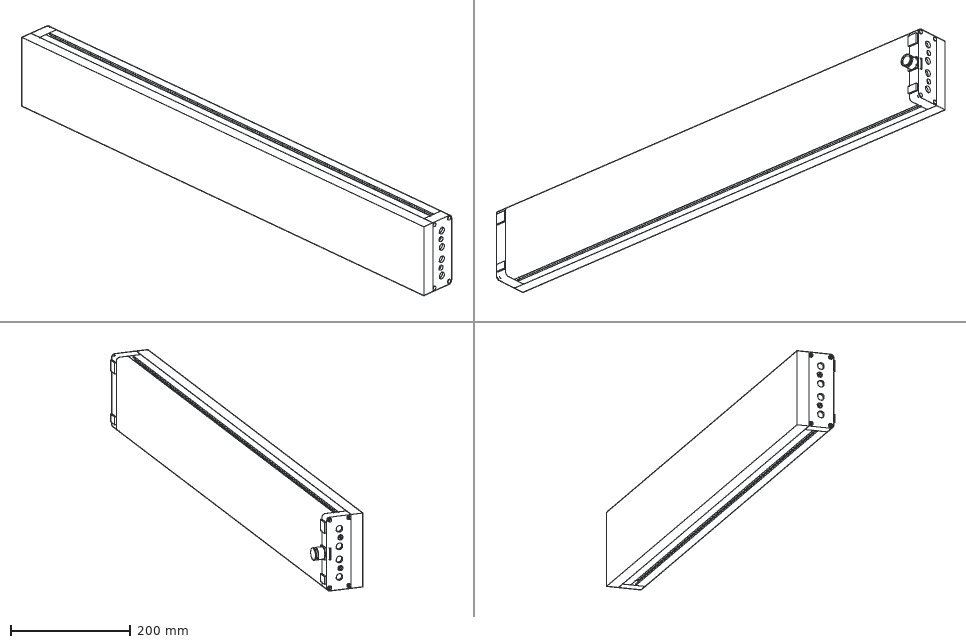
import cadquery as cq

LENGTH = 964.0
HEIGHT = 130.0
DEPTH = 86.0

PLATE_THICKNESS = 21.0
HOUSING_BACK = 66.0
PAD_BACK = 68.0
HOUSING_DEPTH = HOUSING_BACK - PLATE_THICKNESS
BACK_RADIUS = 7.0

CAP_LENGTH = 21.0
PAD_INSET = 3.0

MOUTH_WIDTH = 9.0
MOUTH_DEPTH = 3.0
MOUTH_FRONT = 36.0
T_SLOT_Y = MOUTH_FRONT + MOUTH_WIDTH / 2
UNDERCUT_WIDTH = 16.0
UNDERCUT_DEPTH = 6.0

PADS = [(46.0, 19.0), (-46.0, 13.5)]

RECESS_DEPTH = 5.0
BORE_DEPTH = 10.0
BORE_DIAMETER = 4.0
CORNER_HOLE_DIAMETER = 7.0
CORNER_HOLE_Z = 60.0
CORNER_HOLE_YS = [25.0, 60.0]
WINDOW_Y = 42.0
WINDOW_DIAMETER = 12.0
WINDOW_ZS = [12.0, 42.0]
SMALL_WINDOW_DIAMETER = 9.0
SMALL_WINDOW_Y = 40.5
SMALL_WINDOW_Z = 27.0

SLOT_Y = 59.0
SLOT_WIDTH = 3.0
SLOT_LENGTH = 20.0

CONNECTOR_DIAMETER = CAP_LENGTH
NECK_DIAMETER = 16.0
RIM_THICKNESS = 2.0
NECK_LENGTH = 4.0
NECK_START = DEPTH - RIM_THICKNESS - NECK_LENGTH

LEFT_END = -LENGTH / 2
CONNECTOR_X = LEFT_END + CONNECTOR_DIAMETER / 2


def block(x_start, x_length, y_start, y_length, height, z_middle=0.0):
    """Box given by its X and Y starts and the middle of its height."""
    return (
        cq.Workplane("XY")
        .box(x_length, y_length, height, centered=(False, False, True))
        .translate((x_start, y_start, z_middle))
    )


def housing_section(x_start, x_length):
    """Length of the common housing outline with its two back edges rounded."""
    section = block(x_start, x_length, PLATE_THICKNESS, HOUSING_DEPTH, HEIGHT)
    return section.edges("|X and >Y").fillet(BACK_RADIUS)


def end_recess(diameter, y, z, depth=RECESS_DEPTH):
    """Cutter for a round recess in the left end face."""
    return (
        cq.Workplane("YZ", origin=(LEFT_END, y, z))
        .circle(diameter / 2)
        .extrude(depth)
    )


def stepped_recess(diameter, y, z):
    """Cutter for a round recess with a smaller, deeper bore in its floor."""
    bore = end_recess(BORE_DIAMETER, y, z, BORE_DEPTH)
    return end_recess(diameter, y, z).union(bore)


def y_cylinder(diameter, y_start, y_end):
    """Connector section along Y."""
    return (
        cq.Workplane("XZ", origin=(CONNECTOR_X, y_start, 0))
        .circle(diameter / 2)
        .extrude(y_start - y_end)
    )


def make_plate():
    return block(LEFT_END, LENGTH, 0, PLATE_THICKNESS, HEIGHT)


def make_profile():
    profile_length = LENGTH - 2 * CAP_LENGTH
    x_start = LEFT_END + CAP_LENGTH
    profile = housing_section(x_start, profile_length)
    for side in (1, -1):
        mouth_z = side * (HEIGHT - MOUTH_DEPTH) / 2
        undercut_z = side * (HEIGHT / 2 - MOUTH_DEPTH - UNDERCUT_DEPTH / 2)
        undercut_front = T_SLOT_Y - UNDERCUT_WIDTH / 2
        mouth = block(x_start, profile_length, MOUTH_FRONT, MOUTH_WIDTH, MOUTH_DEPTH, mouth_z)
        undercut = block(
            x_start, profile_length, undercut_front, UNDERCUT_WIDTH, UNDERCUT_DEPTH, undercut_z
        )
        profile = profile.cut(mouth).cut(undercut)
    return profile


def back_pad(z_middle, height):
    """Low pad on the back of the cap, set in from the outer end."""
    pad_length = CAP_LENGTH - PAD_INSET
    pad_depth = PAD_BACK - HOUSING_BACK
    return block(LEFT_END + PAD_INSET, pad_length, HOUSING_BACK, pad_depth, height, z_middle)


def make_cap():
    """End cap at the left end, without the connector."""
    cap = housing_section(LEFT_END, CAP_LENGTH)
    for pad_z, pad_height in PADS:
        cap = cap.union(back_pad(pad_z, pad_height))
    for side in (1, -1):
        for y in CORNER_HOLE_YS:
            cap = cap.cut(stepped_recess(CORNER_HOLE_DIAMETER, y, side * CORNER_HOLE_Z))
        for z in WINDOW_ZS:
            cap = cap.cut(end_recess(WINDOW_DIAMETER, WINDOW_Y, side * z))
        cap = cap.cut(stepped_recess(SMALL_WINDOW_DIAMETER, SMALL_WINDOW_Y, side * SMALL_WINDOW_Z))
    return cap


def add_connector(cap):
    """Slot and round connector that only the left cap has."""
    slot = block(LEFT_END, RECESS_DEPTH, SLOT_Y - SLOT_WIDTH / 2, SLOT_WIDTH, SLOT_LENGTH)
    base = back_pad(0, CONNECTOR_DIAMETER)
    body = y_cylinder(CONNECTOR_DIAMETER, PAD_BACK, NECK_START)
    neck = y_cylinder(NECK_DIAMETER, NECK_START, DEPTH)
    rim = y_cylinder(CONNECTOR_DIAMETER, DEPTH - RIM_THICKNESS, DEPTH)
    return cap.cut(slot).union(base).union(body).union(neck).union(rim)


plate = make_plate()
profile = make_profile()
right_cap = make_cap().mirror("YZ")
left_cap = add_connector(make_cap())

result = cq.Compound.makeCompound(
    [plate.val(), profile.val(), left_cap.val(), right_cap.val()]
)